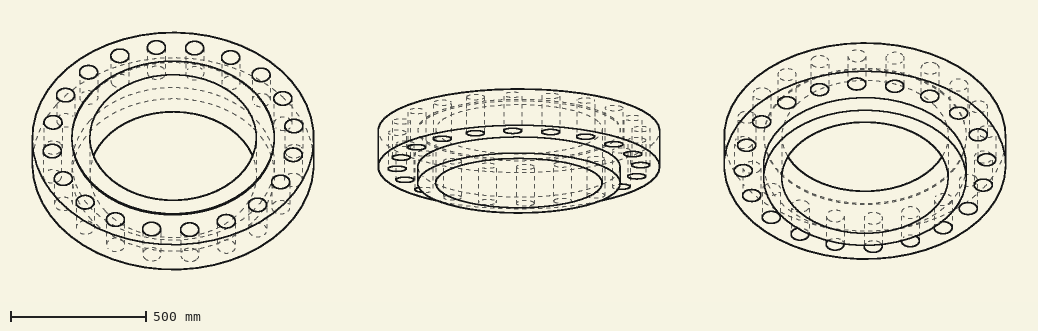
import cadquery as cq

flange_diameter = 1041.0
total_height = 209.0
bore_diameter = 615.0

hub_diameter = 749.0
hub_height = 62.0
raised_face_height = 6.0
flange_thickness = total_height - hub_height - raised_face_height

bolt_count = 20
bolt_circle_diameter = 902.0
bolt_hole_diameter = 67.0
bolt_pitch_angle = 360.0 / bolt_count


def disc(diameter, height, base_z):
    """Solid disc about the Z axis, standing on base_z."""
    return cq.Workplane("XY").workplane(offset=base_z).circle(diameter / 2).extrude(height)


def bolt_holes():
    """Cylinders that cut the ring of bolt holes through the flange."""
    return (
        cq.Workplane("XY")
        .polarArray(bolt_circle_diameter / 2, bolt_pitch_angle / 2, 360, bolt_count)
        .circle(bolt_hole_diameter / 2)
        .extrude(total_height)
    )


core = disc(hub_diameter, total_height, 0)
flange = disc(flange_diameter, flange_thickness, hub_height)
bore = disc(bore_diameter, total_height, 0)

result = core.union(flange).cut(bore).cut(bolt_holes())